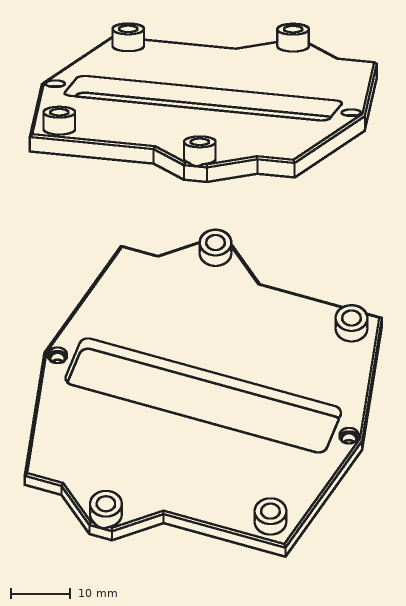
import cadquery as cq

plate_thickness = 3.0
edge_chamfer = 0.4
half_width_at_middle = 56.08 / 2
half_width_at_corner = 23.0
body_half_length = 25.0
lug_half_length = 62.23 / 2

lug_x = 7.5
lug_root_half_width = 9.0
lug_tip_half_width = 2.0

window_length = 46.0
window_width = 10.0
window_corner_radius = 1.5

total_height = 6.0
standoff_diameter = 5.3
standoff_bore = 3.1
lug_standoff_y = 28.4
corner_standoff_x = -19.0
corner_standoff_y = 21.0

side_hole_x = 25.7
side_hole_diameter = 2.4
side_recess_diameter = 3.2
side_recess_depth = 1.0

standoff_centers = [
    (x, side * y)
    for x, y in ((lug_x, lug_standoff_y), (corner_standoff_x, corner_standoff_y))
    for side in (1, -1)
]
side_hole_centers = [(-side_hole_x, 0), (side_hole_x, 0)]


def make_plate():
    """Outline of the body and lugs, with the top rim chamfered."""
    upper_half = [
        (half_width_at_middle, 0),
        (half_width_at_corner, body_half_length),
        (lug_x + lug_root_half_width, body_half_length),
        (lug_x + lug_tip_half_width, lug_half_length),
        (lug_x - lug_tip_half_width, lug_half_length),
        (lug_x - lug_root_half_width, body_half_length),
        (-half_width_at_corner, body_half_length),
        (-half_width_at_middle, 0),
    ]
    lower_half = [(x, -y) for x, y in reversed(upper_half[1:-1])]
    plate = cq.Workplane("XY").polyline(upper_half + lower_half).close().extrude(plate_thickness)
    return plate.faces(">Z").chamfer(edge_chamfer)


def make_window():
    """Rounded rectangular cutter through the middle of the plate."""
    window = cq.Workplane("XY").rect(window_length, window_width).extrude(plate_thickness)
    return window.edges("|Z").fillet(window_corner_radius)


def make_cylinders(centers, diameter, bottom, top):
    """Equal upright cylinders between two heights."""
    plane = cq.Workplane("XY").workplane(offset=bottom)
    return plane.pushPoints(centers).circle(diameter / 2).extrude(top - bottom)


standoff_base = plate_thickness - edge_chamfer
side_recess_floor = plate_thickness - side_recess_depth

result = (
    make_plate()
    .cut(make_window())
    .union(make_cylinders(standoff_centers, standoff_diameter, standoff_base, total_height))
    .cut(make_cylinders(standoff_centers, standoff_bore, 0, total_height))
    .cut(make_cylinders(side_hole_centers, side_hole_diameter, 0, plate_thickness))
    .cut(make_cylinders(side_hole_centers, side_recess_diameter, side_recess_floor, plate_thickness))
)